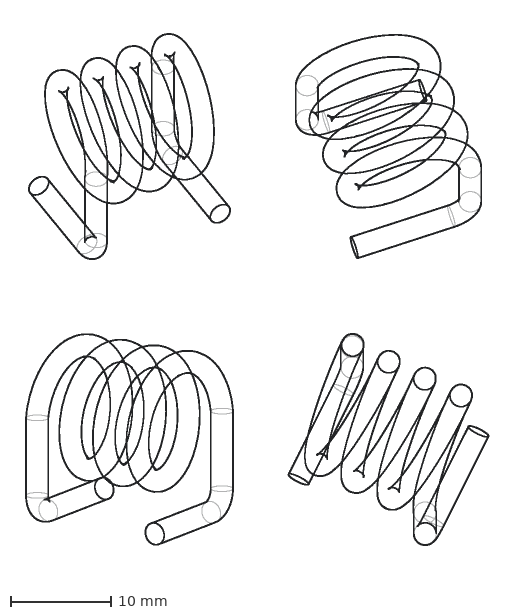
import cadquery as cq

wire_diameter = 2.25
coil_radius = 6.15
coil_length = 14.01
turns = 3.5
foot_drop = 10.0
bend_radius = 2.0

wire_radius = wire_diameter / 2
pitch = coil_length / turns


def make_coil():
    """Left-handed coil along Y, starting and ending at the height of its axis."""
    helix = cq.Wire.makeHelix(pitch, coil_length, coil_radius, lefthand=True)
    helix = helix.rotate(cq.Vector(0, 0, 0), cq.Vector(1, 0, 0), -90)
    helix = helix.translate(cq.Vector(0, -coil_length / 2, 0))
    section = cq.Workplane("XY").center(coil_radius, -coil_length / 2).circle(wire_radius)
    return section.sweep(cq.Workplane(obj=helix), isFrenet=True)


def make_leg(side, y):
    """Leg going down at x = side * coil_radius, bent into a foot reaching the opposite side."""
    leg_x = side * coil_radius
    path = (
        cq.Workplane("XZ", origin=(0, y, 0))
        .moveTo(leg_x, 0)
        .lineTo(leg_x, bend_radius - foot_drop)
        .tangentArcPoint((-side * bend_radius, -bend_radius))
        .lineTo(-leg_x, -foot_drop)
    )
    return cq.Workplane("XY").center(leg_x, y).circle(wire_radius).sweep(path)


front_leg = make_leg(1, -coil_length / 2)
back_leg = make_leg(-1, coil_length / 2)

result = make_coil().union(front_leg).union(back_leg)